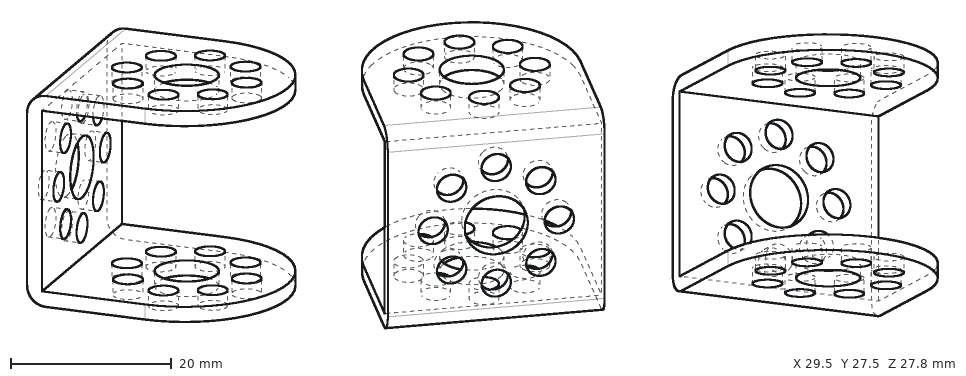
import cadquery as cq

length = 29.5
width = 27.5
height = 27.8
thickness = 2.0
bend_radius = 2.5

bore_diameter = 8.0
ring_hole_diameter = 3.72
ring_radius = 8.0
ring_hole_count = 8
flange_pattern_x = 16.0

tip_radius = width / 2
tip_center_x = length - tip_radius


def channel():
    """U-shaped strip: web at X = 0, flanges towards +X, sharp inside corners."""
    outer = (
        cq.Workplane("XY")
        .box(length, width, height, centered=(False, True, True))
        .edges("|Y and <X")
        .fillet(bend_radius)
    )
    opening = (
        cq.Workplane("XY")
        .box(length, width, height - 2 * thickness, centered=(False, True, True))
        .translate((thickness, 0, 0))
    )
    return outer.cut(opening)


def rounded_outline():
    """Solid whose plan outline gives both flanges their half-round ends."""
    straight = cq.Workplane("XY").box(tip_center_x, width, height, centered=(False, True, True))
    tip = cq.Workplane("XY").center(tip_center_x, 0).circle(tip_radius).extrude(height / 2, both=True)
    return straight.union(tip)


def hole_pattern(plane, depth, both):
    """Cutter for the bore and its ring of holes, centred on the plane origin."""
    bore = plane.circle(bore_diameter / 2).extrude(depth, both=both)
    ring = (
        plane.polarArray(ring_radius, 0, 360, ring_hole_count)
        .circle(ring_hole_diameter / 2)
        .extrude(depth, both=both)
    )
    return bore.union(ring)


flange_holes = hole_pattern(cq.Workplane("XY", origin=(flange_pattern_x, 0, 0)), height / 2, True)
web_holes = hole_pattern(cq.Workplane("YZ"), thickness, False)

result = channel().intersect(rounded_outline()).cut(flange_holes).cut(web_holes)